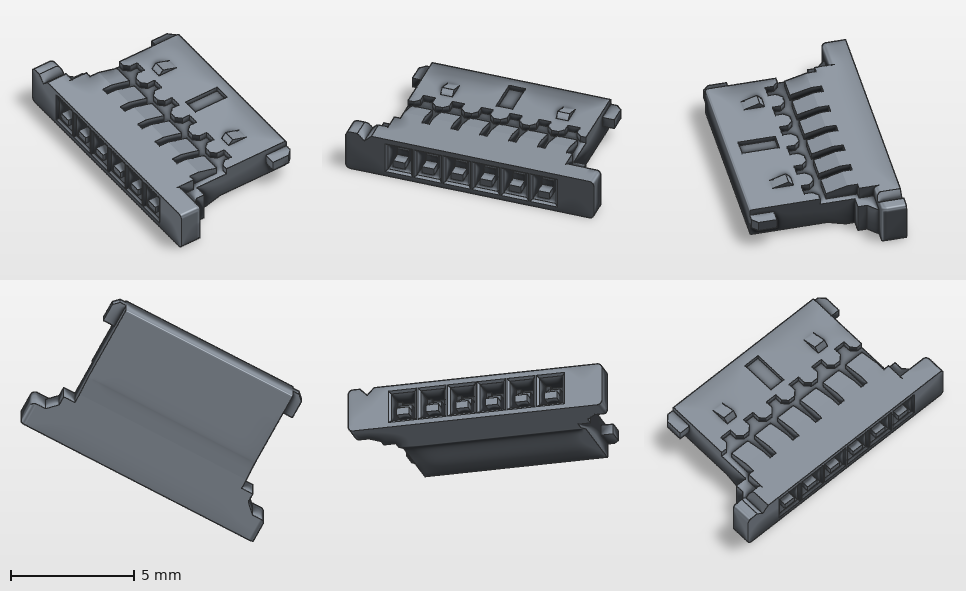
import cadquery as cq


flange_width = 10.72
length = 6.2
height = 1.8

contact_count = 6
contact_row_span = 6.25
pitch = contact_row_span / (contact_count - 1)
cavity_row_shift = 0.06

flange_depth = 1.01
flange_fillet = 0.2
notch_x = -4.56
notch_depth = 0.3

body_width = 7.7
body_bottom = 0.24
plate_top = 1.55
ledge_z = 1.28
plate_front_y = 3.25
rear_fillet = 0.1
underside_ramp_front_y = 2.2
ramp_rear_y = 2.95

cover_flat_y = 2.05
finger_root_y = 1.63
finger_row_width = 7.17
slot_root_width = 0.32
slot_tip_width = 0.38

ear_width = 8.73
shoulder_rear_y = 1.8
shoulder_bevel = 0.39
lug_front_y = 5.19
lug_bottom = 0.85
lug_bevel = 0.24

scallop_width = 0.51
scallop_mouth_width = 0.94
scallop_depth = 0.56
scallop_mouth_depth = 0.21

recess_width = 0.71
recess_front_y = 4.12
recess_rear_y = 5.67
recess_depth = 0.2
latch_width = 0.51
latch_front_y = 4.11
latch_peak_y = 4.31
latch_rear_y = 4.97
latch_peak_z = 1.77

cavity_width = 1.0
cavity_bottom = 0.3
cavity_top = 1.48
cavity_bevel = 0.1
entry_depth = 1.07
keyway_width = 0.61
keyway_depth = 1.29
inner_bottom = 0.5
inner_depth = 1.5

tongue_width = 0.51
tongue_front_y = 0.02
tongue_step_y = 0.51
tongue_step_z = 0.8
tongue_top = 1.08

contact_xs = [(i - (contact_count - 1) / 2) * pitch for i in range(contact_count)]
wall_xs = [(i - contact_count / 2) * pitch for i in range(1, contact_count)]


def block(width, y_range, z_range, x=0.0):
    """Box of the given width centred on x and spanning the Y and Z ranges."""
    (y0, y1), (z0, z1) = y_range, z_range
    return cq.Workplane("XY").box(width, y1 - y0, z1 - z0).translate((x, (y0 + y1) / 2, (z0 + z1) / 2))


def side_profile(points, width, x=0.0):
    """Prism along X, centred on x, from (Y, Z) outline points."""
    return cq.Workplane("YZ").polyline(points).close().extrude(width / 2, both=True).translate((x, 0, 0))


def plan_profile(points, z0, z1):
    """Vertical prism between two heights from (X, Y) outline points."""
    return cq.Workplane("XY").workplane(offset=z0).polyline(points).close().extrude(z1 - z0)


def mirrored_outline(right_side):
    """Close an outline symmetric about X = 0 from its right-hand points."""
    return right_side + [(-x, y) for x, y in reversed(right_side)]


def make_flange():
    flange = block(flange_width, (0, flange_depth), (0, height))
    rounded_edges = "|Y or (>Y and |Z) or (>Y and >Z)"
    return flange.edges(rounded_edges).fillet(flange_fillet)


def make_notch():
    outline = [
        (notch_x - notch_depth, height),
        (notch_x + notch_depth, height),
        (notch_x, height - notch_depth),
    ]
    return cq.Workplane("XZ").polyline(outline).close().extrude(-flange_depth)


def make_base():
    base = side_profile(
        [
            (0, 0),
            (underside_ramp_front_y, 0),
            (ramp_rear_y, body_bottom),
            (length, body_bottom),
            (length, plate_top),
            (plate_front_y, plate_top),
            (plate_front_y, ledge_z),
            (0, ledge_z),
        ],
        body_width,
    )
    return base.edges("|X and >Y").fillet(rear_fillet)


def make_scallop(x):
    throat, mouth = scallop_width / 2, scallop_mouth_width / 2
    outline = mirrored_outline(
        [
            (mouth, plate_front_y),
            (throat, plate_front_y + scallop_mouth_depth),
            (throat, plate_front_y + scallop_depth),
        ]
    )
    return plan_profile(outline, ledge_z, plate_top).translate((x, 0, 0))


def make_cover():
    cover = side_profile(
        [
            (0, ledge_z),
            (ramp_rear_y, ledge_z),
            (ramp_rear_y, plate_top),
            (cover_flat_y, height),
            (0, height),
        ],
        body_width,
    )
    side_relief_width = (body_width - finger_row_width) / 2
    for side in (-1, 1):
        relief_x = side * (finger_row_width + side_relief_width) / 2
        cover = cover.cut(block(side_relief_width, (finger_root_y, ramp_rear_y), (ledge_z, height), relief_x))
    slot_outline = mirrored_outline(
        [(slot_root_width / 2, finger_root_y), (slot_tip_width / 2, ramp_rear_y)]
    )
    slot = plan_profile(slot_outline, ledge_z, height)
    for x in wall_xs:
        cover = cover.cut(slot.translate((x, 0, 0)))
    return cover


def make_shoulders():
    half = ear_width / 2
    bevel_front_y = shoulder_rear_y - shoulder_bevel
    flange_y = flange_depth - flange_fillet
    flare = bevel_front_y - flange_y
    outline = mirrored_outline(
        [(half + flare, flange_y), (half, bevel_front_y), (half, shoulder_rear_y)]
    )
    return plan_profile(outline, 0, ledge_z)


def make_lugs():
    half = ear_width / 2
    outline = mirrored_outline(
        [
            (half, lug_front_y),
            (half, length - lug_bevel),
            (half - lug_bevel, length),
        ]
    )
    return plan_profile(outline, lug_bottom, ledge_z)


def make_latch(x):
    outline = [(latch_front_y, plate_top), (latch_peak_y, latch_peak_z), (latch_rear_y, plate_top)]
    return side_profile(outline, latch_width, x)


def make_cavity(x):
    entry_height = cavity_top - cavity_bottom
    lead_in = (
        cq.Workplane("XZ")
        .center(x, (cavity_bottom + cavity_top) / 2)
        .rect(cavity_width + 2 * cavity_bevel, entry_height + 2 * cavity_bevel)
        .workplane(offset=-cavity_bevel)
        .rect(cavity_width, entry_height)
        .loft(ruled=True)
    )
    entry = block(cavity_width, (0, entry_depth), (cavity_bottom, cavity_top), x)
    keyway = block(keyway_width, (0, keyway_depth), (ledge_z, cavity_top), x)
    inner = block(cavity_width, (0, inner_depth), (inner_bottom, ledge_z), x)
    return lead_in.union(entry).union(keyway).union(inner)


def make_tongue(x):
    lower = block(tongue_width, (tongue_front_y, inner_depth), (inner_bottom, tongue_step_z), x)
    upper = block(tongue_width, (tongue_step_y, inner_depth), (tongue_step_z, tongue_top), x)
    return lower.union(upper)


result = make_flange().union(make_shoulders()).union(make_base()).union(make_cover()).union(make_lugs())
result = result.cut(make_notch())
result = result.cut(block(recess_width, (recess_front_y, recess_rear_y), (plate_top - recess_depth, plate_top)))

for latch_x in (-2 * pitch, 2 * pitch):
    result = result.union(make_latch(latch_x))

for contact_x in contact_xs:
    cavity_x = contact_x + cavity_row_shift
    result = result.cut(make_scallop(contact_x))
    result = result.cut(make_cavity(cavity_x).cut(make_tongue(cavity_x)))